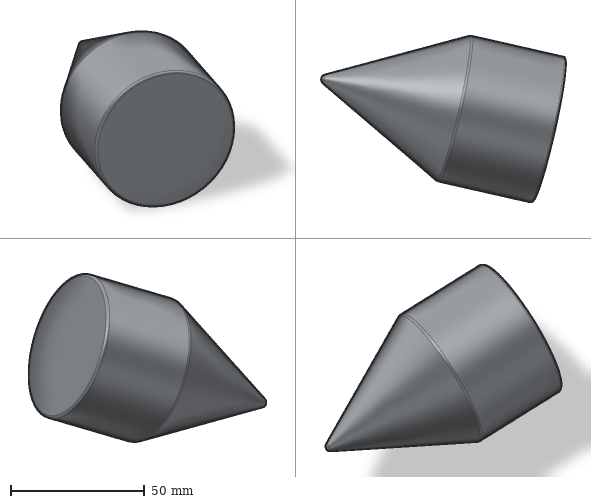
import cadquery as cq
import math

length = 88.0
body_radius = 56.1 / 2

body_length = 36.8
shoulder_blend = 2.0
back_fillet = 1.0
selection_margin = 0.9

nose_radius = 1.9
shoulder_x = length - body_length

nose_center_x = nose_radius
run = shoulder_x - nose_center_x
half_angle = math.atan2(body_radius, run) - math.asin(nose_radius / math.hypot(run, body_radius))
tangent_x = nose_center_x - nose_radius * math.sin(half_angle)
tangent_radius = nose_radius * math.cos(half_angle)
mid_angle = (math.pi / 2 - half_angle) / 2
nose_mid = (nose_center_x - nose_radius * math.cos(mid_angle), nose_radius * math.sin(mid_angle))

profile = (
    cq.Workplane("XY")
    .threePointArc(nose_mid, (tangent_x, tangent_radius))
    .lineTo(shoulder_x, body_radius)
    .lineTo(length, body_radius)
    .lineTo(length, 0)
    .close()
)
result = profile.revolve(360, (0, 0, 0), (1, 0, 0))

shoulder_edge = cq.selectors.BoxSelector(
    (shoulder_x - selection_margin, -body_radius, -body_radius),
    (shoulder_x + selection_margin, body_radius, body_radius),
)
result = result.edges(shoulder_edge).fillet(shoulder_blend)
result = result.faces(">X").edges().fillet(back_fillet)